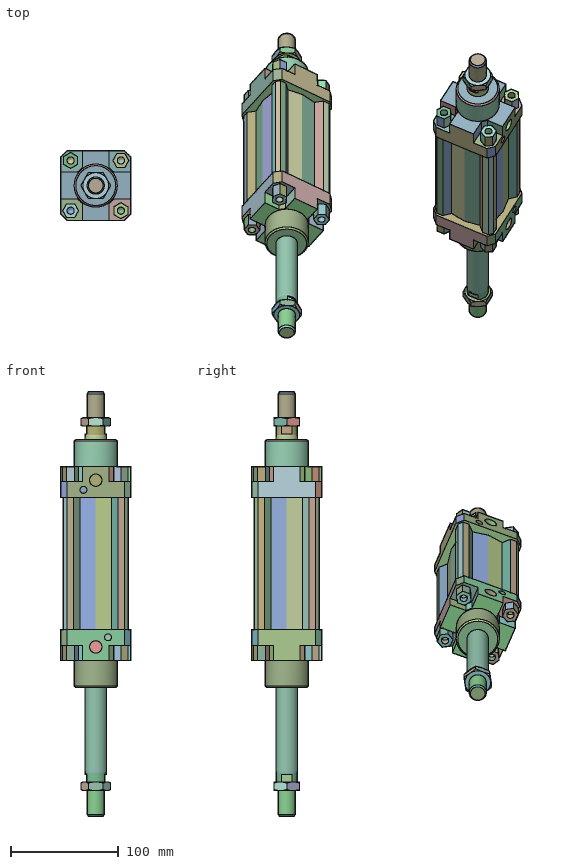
import cadquery as cq
import math


rod_length = 394.0
rod_diameter = 20.0
thread_diameter = 16.0
thread_length = 32.0
thread_tip_diameter = 13.6
thread_taper_length = 2.0
wrench_diameter = 19.6
wrench_shank_length = 8.2
wrench_flat_length = 7.0
wrench_across_flats = 17.0
shank_taper_length = 1.2
shoulder_z = rod_length / 2 - thread_length

lock_nut_across_flats = 24.0
lock_nut_thickness = 8.0
nut_chamfer_angle = 30.0

housing_center_z = 37.6
cap_outer_z = 90.0
cap_inner_z = 61.2
notch_floor_z = 76.0
boss_end_z = 115.2
cap_width = 65.0
cap_corner_chamfer = 6.0
cross_arm_width = 25.0
cross_core_width = 41.2
boss_diameter = 40.0
boss_chamfer = 1.5

tie_rod_offset = 23.3
tie_nut_across_flats = 12.8
tie_socket_diameter = 6.6
tie_socket_depth = 8.0
drill_point_angle = 118.0

barrel_half_width = 30.25
barrel_corner_chamfer = 3.5
pad_edge = 20.8
groove_edge = 14.8
groove_depth = pad_edge - groove_edge
ridge_rise = 2.3

port_diameter = 11.4
port_z = 77.3
port_depth = 15.0
screw_hole_diameter = 6.4
screw_hole_x = 11.4
screw_hole_z = 68.4
screw_hole_depth = 10.0


def hexagon(across_flats, height):
    """Hexagonal prism on Z = 0 with two corners on the X axis."""
    across_corners = across_flats / math.cos(math.radians(30))
    return cq.Workplane("XY").polygon(6, across_corners).extrude(height)


def make_barrel():
    """Barrel between the caps: each side has corner pads, 45 degree groove walls and a shallow ridge."""
    groove_y = barrel_half_width - groove_depth
    corner = barrel_half_width - barrel_corner_chamfer
    side = [
        (corner, -barrel_half_width),
        (pad_edge, -barrel_half_width),
        (groove_edge, -groove_y),
        (0, -groove_y - ridge_rise),
        (-groove_edge, -groove_y),
        (-pad_edge, -barrel_half_width),
        (-corner, -barrel_half_width),
    ]
    outline = []
    for _ in range(4):
        outline += side
        side = [(y, -x) for x, y in side]
    return cq.Workplane("XY").polyline(outline).close().extrude(cap_inner_z, both=True)


def make_tie_nut():
    """Tie-rod nut standing on the notch floor, with a drilled socket in its end face."""
    radius = tie_socket_diameter / 2
    tip = radius / math.tan(math.radians(drill_point_angle / 2))
    socket_floor_z = cap_outer_z - tie_socket_depth
    nut = hexagon(tie_nut_across_flats, cap_outer_z - notch_floor_z).translate((0, 0, notch_floor_z))
    socket = (
        cq.Workplane("XZ")
        .moveTo(0, cap_outer_z)
        .lineTo(radius, cap_outer_z)
        .lineTo(radius, socket_floor_z)
        .lineTo(0, socket_floor_z - tip)
        .close()
        .revolve(360, (0, 0), (0, 1))
    )
    return nut.cut(socket).translate((-tie_rod_offset, -tie_rod_offset, 0))


def make_cap():
    """Upper end cap: square plate, cross-shaped outer half, boss and ports."""
    cap = (
        cq.Workplane("XY")
        .workplane(offset=cap_inner_z)
        .rect(cap_width, cap_width)
        .extrude(notch_floor_z - cap_inner_z)
        .edges("|Z")
        .chamfer(cap_corner_chamfer)
    )
    cross = cq.Workplane("XY").workplane(offset=notch_floor_z)
    arm_height = cap_outer_z - notch_floor_z
    core = cross.rect(cross_core_width, cross_core_width).extrude(arm_height)
    cap = cap.union(cross.rect(cap_width, cross_arm_width).extrude(arm_height))
    cap = cap.union(cross.rect(cross_arm_width, cap_width).extrude(arm_height))
    cap = cap.union(core.rotate((0, 0, 0), (0, 0, 1), 45))
    boss = cross.circle(boss_diameter / 2).extrude(boss_end_z - notch_floor_z)
    cap = cap.union(boss.faces(">Z").chamfer(boss_chamfer))

    front_face = cq.Workplane("XZ", origin=(0, -cap_width / 2, 0))
    port = front_face.center(0, port_z).circle(port_diameter / 2).extrude(-port_depth)
    screw_hole = (
        front_face.center(-screw_hole_x, screw_hole_z)
        .circle(screw_hole_diameter / 2)
        .extrude(-screw_hole_depth)
    )
    return cap.cut(port).cut(screw_hole)


def make_housing():
    """Barrel, both caps and the tie-rod nuts as one body, bored through for the rod."""
    cap = make_cap()
    lower_cap = cap.rotate((0, 0, 0), (0, 1, 0), 180)
    bore = cq.Workplane("XY").circle(rod_diameter / 2).extrude(boss_end_z, both=True)
    housing = make_barrel().union(cap).union(lower_cap)
    for corner in range(4):
        tie_nut = make_tie_nut().rotate((0, 0, 0), (0, 0, 1), 90 * corner)
        housing = housing.union(tie_nut).union(tie_nut.mirror("XY"))
    housing = housing.cut(bore)
    return housing.translate((0, 0, housing_center_z))


def make_rod():
    """Through rod: both ends alike, each with wrench flats and a reduced thread."""
    shank_z = shoulder_z - wrench_shank_length
    half = (
        cq.Workplane("XZ")
        .moveTo(0, 0)
        .lineTo(rod_diameter / 2, 0)
        .lineTo(rod_diameter / 2, shank_z - shank_taper_length)
        .lineTo(wrench_diameter / 2, shank_z)
        .lineTo(wrench_diameter / 2, shoulder_z)
        .lineTo(thread_diameter / 2, shoulder_z)
        .lineTo(thread_diameter / 2, rod_length / 2 - thread_taper_length)
        .lineTo(thread_tip_diameter / 2, rod_length / 2)
        .lineTo(0, rod_length / 2)
        .close()
        .revolve(360, (0, 0), (0, 1))
    )
    for side in (-1, 1):
        flat = (
            cq.Workplane("XY")
            .box(rod_diameter, rod_diameter, wrench_flat_length)
            .translate((
                side * (wrench_across_flats + rod_diameter) / 2,
                0,
                shoulder_z - wrench_flat_length / 2,
            ))
        )
        half = half.cut(flat)
    return half.union(half.mirror("XY"))


def make_lock_nut(end):
    """Lock nut on the upper (end = 1) or lower (end = -1) thread, corners chamfered on both faces."""
    flat_radius = lock_nut_across_flats / 2
    corner_radius = flat_radius / math.cos(math.radians(30))
    drop = (corner_radius - flat_radius) * math.tan(math.radians(nut_chamfer_angle))
    envelope = (
        cq.Workplane("XZ")
        .polyline([
            (0, 0),
            (flat_radius, 0),
            (corner_radius, drop),
            (corner_radius, lock_nut_thickness - drop),
            (flat_radius, lock_nut_thickness),
            (0, lock_nut_thickness),
        ])
        .close()
        .revolve(360, (0, 0), (0, 1))
    )
    bore = cq.Workplane("XY").circle(thread_diameter / 2).extrude(lock_nut_thickness)
    nut = hexagon(lock_nut_across_flats, lock_nut_thickness).intersect(envelope).cut(bore)
    nut = nut.translate((0, 0, shoulder_z))
    return nut if end > 0 else nut.mirror("XY")


housing = make_housing()
rod = make_rod()
lock_nuts = [make_lock_nut(end) for end in (1, -1)]

result = cq.Compound.makeCompound([housing.val(), rod.val(), *[nut.val() for nut in lock_nuts]])